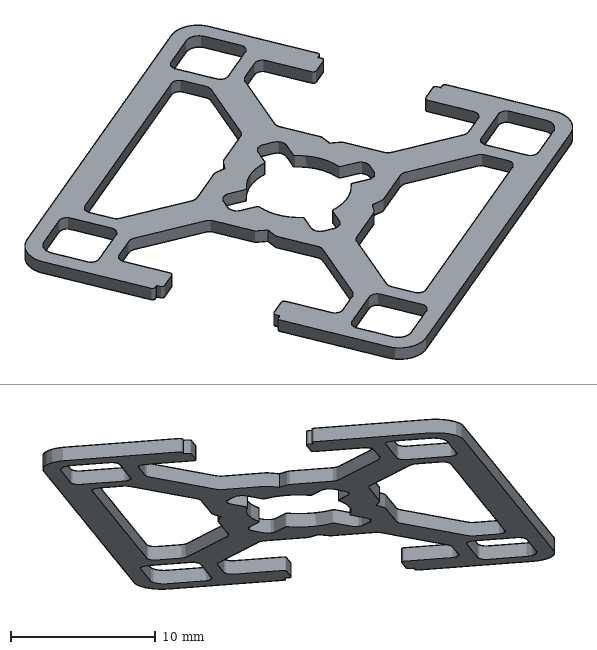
import cadquery as cq
import math

side = 30.0
thickness = 1.0
outer_radius = 2.0
half = side / 2

corner_wall = 1.2
pocket_side = 4.3
inner_wall = 1.1
lip_thickness = 2.2
core_half = 6.0
web_offset = 1.8
pocket_radius = 0.6
pocket_outer_radius = 1.0
channel_radius = 0.6
web_radius = 0.7

mouth_half = 4.1
step_width = 0.5
step_depth = 0.45
lip_radius = 0.25

groove_depth = 0.45
groove_slope = 30.0
groove_edge_radius = 0.5

bore_radius = 3.63
relief_width = 2.13
relief_reach = 5.5
relief_radius = 0.7
relief_mouth_radius = 0.2

channel_half = half - corner_wall - pocket_side - inner_wall
channel_top = half - lip_thickness
groove_half = groove_depth / math.tan(math.radians(groove_slope))


def round_edges(solid, points, radius):
    """Fillet the upright edges standing at the given (x, y) points."""
    tolerance = 0.003
    for x, y in points:
        box = cq.selectors.BoxSelector(
            (x - tolerance, y - tolerance, -tolerance),
            (x + tolerance, y + tolerance, thickness + tolerance),
        )
        solid = solid.edges("|Z").edges(box).fillet(radius)
    return solid


def mirrored(points):
    return points + [(-x, y) for x, y in points]


def channel():
    """Channel on the +Y side, between two webs, a core face and the outer wall."""
    outer = (channel_half, channel_top)
    web_top = (channel_half, channel_half + web_offset)
    web_foot = (core_half - web_offset, core_half)
    groove_edge = (groove_half, core_half)
    groove_root = (0, core_half - groove_depth)
    right = [outer, web_top, web_foot, groove_edge]
    left = [(-x, y) for x, y in reversed(right)]
    solid = cq.Workplane("XY").polyline(right + [groove_root] + left).close().extrude(thickness)
    solid = round_edges(solid, mirrored([outer]), channel_radius)
    solid = round_edges(solid, mirrored([web_top, web_foot]), web_radius)
    return round_edges(solid, mirrored([groove_edge]), groove_edge_radius)


def mouth():
    """Stepped opening through the +Y wall into the channel."""
    step_half = mouth_half + step_width
    step_y = half - step_depth
    right = [(mouth_half, channel_top), (mouth_half, step_y), (step_half, step_y), (step_half, half)]
    left = [(-x, y) for x, y in reversed(right)]
    return cq.Workplane("XY").polyline(right + left).close().extrude(thickness)


def corner_pocket():
    """Square pocket in the +X +Y corner, with a larger radius at its outer corner."""
    far = half - corner_wall
    near = far - pocket_side
    solid = cq.Workplane("XY").rect(pocket_side, pocket_side).extrude(thickness)
    solid = solid.translate(((near + far) / 2, (near + far) / 2, 0))
    solid = round_edges(solid, [(near, near), (near, far), (far, near)], pocket_radius)
    return round_edges(solid, [(far, far)], pocket_outer_radius)


def centre_opening():
    """Round bore with four diagonal reliefs."""
    bar = cq.Workplane("XY").rect(2 * relief_reach, relief_width).extrude(thickness)
    bar = bar.edges("|Z").fillet(relief_radius)
    opening = cq.Workplane("XY").circle(bore_radius).extrude(thickness)
    for angle in (45, 135):
        opening = opening.union(turned(bar, angle))
    spread = math.degrees(math.asin(relief_width / 2 / bore_radius))
    corners = []
    for diagonal in (45, 135, 225, 315):
        for angle in (diagonal - spread, diagonal + spread):
            turn = math.radians(angle)
            corners.append((bore_radius * math.cos(turn), bore_radius * math.sin(turn)))
    return round_edges(opening, corners, relief_mouth_radius)


def turned(solid, angle):
    return solid.rotate((0, 0, 0), (0, 0, 1), angle)


result = cq.Workplane("XY").rect(side, side).extrude(thickness).edges("|Z").fillet(outer_radius)
result = result.cut(centre_opening())

for quarter in range(4):
    result = result.cut(turned(channel(), 90 * quarter))
    result = result.cut(turned(corner_pocket(), 90 * quarter))

for angle in (0, 180):
    result = result.cut(turned(mouth(), angle))

lip_corners = mirrored([
    (mouth_half, channel_top),
    (mouth_half, half - step_depth),
    (mouth_half + step_width, half),
])
for sign in (1, -1):
    result = round_edges(result, [(x, sign * y) for x, y in lip_corners], lip_radius)